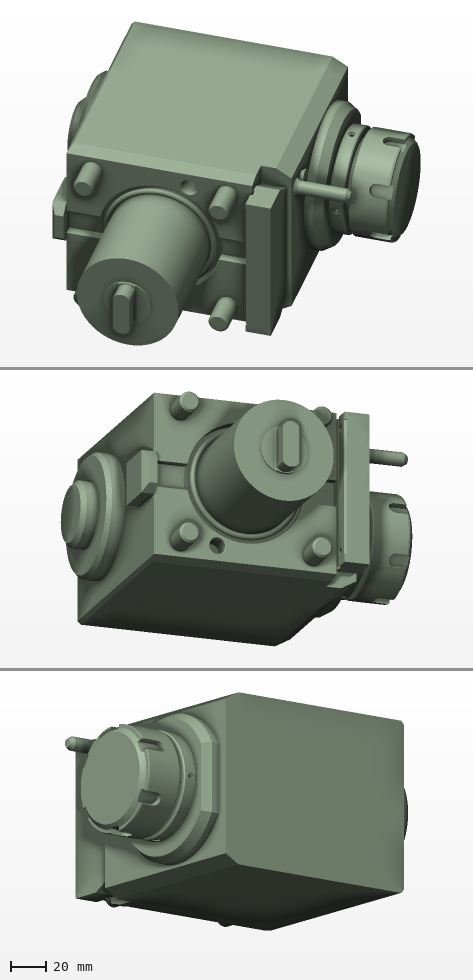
import cadquery as cq
import math


HOUSING_LEFT = -55.2
HOUSING_RIGHT = 72.6
HOUSING_BACK = 129.0
HOUSING_HEIGHT = 100.0
LEFT_CHAMFER = 2.0
RIGHT_CHAMFER_X = 9.2
RIGHT_CHAMFER_Z = 5.2
FRONT_CHAMFER_Y = 8.3
FRONT_CHAMFER_Z = 2.0
NOTCH_LEFT = 54.5
NOTCH_BACK = 17.5

FACE_SLOT_WIDTH = 15.6
FACE_SLOT_DEPTH = 5.3
SEAL_RECESS_DIAMETER = 71.2
SEAL_RECESS_DEPTH = 7.0
SEAL_CORE_RADIUS = 31.6
SEAL_CORD_RADIUS = 1.8
SEAL_PROUD = 1.0
SCREW_SPACING_X = 79.8
SCREW_SPACING_Z = 78.0
SCREW_DIAMETER = 12.0
SCREW_LENGTH = 18.2
SCREW_CHAMFER = 1.2
DOWEL_HOLE_DIAMETER = 9.4
DOWEL_HOLE_DEPTH = 12.0
DOWEL_HOLE_X = 17.0
DOWEL_HOLE_Z = 39.0
HOLE_CHAMFER = 0.4

SHANK_DIAMETER = 60.0
SHANK_LENGTH = 63.6
DRIVE_DISC_DIAMETER = 28.0
DRIVE_DISC_THICKNESS = 0.9
TANG_WIDTH = 9.6
TANG_FLAT_HEIGHT = 21.6
TANG_HEIGHT = 27.2
TANG_END = 76.0
TANG_ROOT_FILLET = 1.0

KEY_THICKNESS = 8.0
KEY_WIDTH = 25.4
KEY_BACK = 24.0
KEY_TAPER_START = -1.0
KEY_TIP = -6.0
KEY_TIP_WIDTH = 15.6
KEY_TAPER_X = 3.0

BAR_RIGHT = 69.5
BAR_FRONT = -13.4
BAR_HEIGHT = 89.4
BAR_SLOPE_START = 5.1
BAR_SLOPE_DROP = 7.0
BAR_GROOVE_WIDTH = 4.0
BAR_GROOVE_DEPTH = 1.5
BAR_CLEARANCE = 0.7
BAR_EDGE_CHAMFER = 1.5
BAR_EDGE_CHAMFER_LENGTH = 80.0
BAR_HOLE_DIAMETER = 4.5
BAR_HOLE_Y = -6.5
BAR_HOLE_Z = 36.6

SPINDLE_Y = 85.0
LEFT_FLANGE_END = -65.8
LEFT_FLANGE_DIAMETER = 72.6
LEFT_FLANGE_CHAMFER_X = 2.7
LEFT_FLANGE_CHAMFER_R = 2.1
CAP_END = -75.0
CAP_DIAMETER = 38.8
CAP_CHAMFER = 2.7
CAP_GROOVE_DIAMETER = 40.6
CAP_GROOVE_DEPTH = 0.8

RIGHT_FLANGE_END = 83.1
RIGHT_FLANGE_DIAMETER = 86.0
RIGHT_FLANGE_FLAT = 37.8
RIGHT_FLANGE_CHAMFER_X = 5.4
RIGHT_FLANGE_CHAMFER_R = 3.3

COLLAR_START = 83.8
COLLAR_END = 92.4
COLLAR_DIAMETER = 63.0
COLLAR_CHAMFER = 0.6
RELIEF_DIAMETER = 57.0
NECK_DIAMETER = 51.0
SET_SCREW_COUNT = 4
SET_SCREW_DIAMETER = 4.6
SET_SCREW_RECESS = 0.8
SOCKET_ACROSS_CORNERS = 2.8
SOCKET_DEPTH = 2.0

NUT_START = 95.4
NUT_END = 120.8
NUT_DIAMETER = 63.0
NUT_BACK_CHAMFER = 0.6
NUT_RIM_CHAMFER_START = 117.0
NUT_RIM_CHAMFER = 0.4
NUT_RIM_END = 118.1
NUT_CONE_LARGE_DIAMETER = 58.6
NUT_CONE_SMALL_DIAMETER = 53.0
NUT_SLOT_COUNT = 6
NUT_SLOT_WIDTH = 8.0
NUT_SLOT_START = 106.5
NUT_LONG_SLOT_START = 103.2
NUT_LONG_SLOT_INDEX = 5
NUT_SLOT_FLOOR_RADIUS = 28.0

COOLANT_Z = 33.5
PIPE_Y = 25.4
PIPE_DIAMETER = 8.2
PIPE_BASE_DIAMETER = 10.6
PIPE_BASE_LENGTH = 2.4
PIPE_END = 105.5
PIPE_TIP_LENGTH = 2.6
PIPE_TIP_DIAMETER = 4.8
PLUG_Y = 35.8
PLUG_ROOT_DIAMETER = 7.0
PLUG_DIAMETER = 10.4
PLUG_LENGTH = 2.8

HALF_HEIGHT = HOUSING_HEIGHT / 2
DRIVE_DISC_END = -SHANK_LENGTH - DRIVE_DISC_THICKNESS


def box(x_range, y_range, z_range):
    """Axis-aligned box between the given limits."""
    size = [high - low for low, high in (x_range, y_range, z_range)]
    corner = (x_range[0], y_range[0], z_range[0])
    return cq.Workplane("XY").box(*size, centered=False).translate(corner)


def turned_along_x(profile, y, z=0.0):
    """Solid turned about the X-parallel line through (y, z); profile is (x, radius) pairs."""
    first_x, last_x = profile[0][0], profile[-1][0]
    outline = [(first_x, 0), *profile, (last_x, 0)]
    solid = cq.Workplane("XY").polyline(outline).close().revolve(360, (0, 0, 0), (1, 0, 0))
    return solid.translate((0, y, z))


def rod_along_y(diameter, y_start, y_end, x=0.0, z=0.0):
    """Plain cylinder parallel to Y, from y_start forward (toward -Y) to y_end."""
    plane = cq.Workplane("XZ", origin=(x, y_start, z))
    return plane.circle(diameter / 2).extrude(y_start - y_end)


def chamfered_bore(diameter, depth, x=0.0, z=0.0):
    """Cutting tool for a blind hole in the mounting face, with a chamfer at its mouth."""
    radius = diameter / 2
    mouth = cq.Solid.makeCone(
        radius + HOLE_CHAMFER, radius, HOLE_CHAMFER, pnt=cq.Vector(x, 0, z), dir=cq.Vector(0, 1, 0)
    )
    return rod_along_y(diameter, depth, 0, x, z).union(cq.Workplane(mouth))


def make_block():
    half_front = HALF_HEIGHT - FRONT_CHAMFER_Z
    left_edge = HALF_HEIGHT - LEFT_CHAMFER
    right_edge = HALF_HEIGHT - RIGHT_CHAMFER_Z
    end_outline = [
        (HOUSING_LEFT, -left_edge),
        (HOUSING_LEFT + LEFT_CHAMFER, -HALF_HEIGHT),
        (HOUSING_RIGHT - RIGHT_CHAMFER_X, -HALF_HEIGHT),
        (HOUSING_RIGHT, -right_edge),
        (HOUSING_RIGHT, right_edge),
        (HOUSING_RIGHT - RIGHT_CHAMFER_X, HALF_HEIGHT),
        (HOUSING_LEFT + LEFT_CHAMFER, HALF_HEIGHT),
        (HOUSING_LEFT, left_edge),
    ]
    side_outline = [
        (0, -half_front),
        (FRONT_CHAMFER_Y, -HALF_HEIGHT),
        (HOUSING_BACK, -HALF_HEIGHT),
        (HOUSING_BACK, HALF_HEIGHT),
        (FRONT_CHAMFER_Y, HALF_HEIGHT),
        (0, half_front),
    ]
    along_y = cq.Workplane("XZ").polyline(end_outline).close().extrude(-HOUSING_BACK)
    side_plane = cq.Workplane("YZ", origin=(HOUSING_LEFT, 0, 0))
    along_x = side_plane.polyline(side_outline).close().extrude(HOUSING_RIGHT - HOUSING_LEFT)
    notch = box((NOTCH_LEFT, HOUSING_RIGHT), (0, NOTCH_BACK), (-HALF_HEIGHT, HALF_HEIGHT))
    return along_y.intersect(along_x).cut(notch)


def cut_mounting_face(body):
    half_slot = FACE_SLOT_WIDTH / 2
    slot = box((HOUSING_LEFT, NOTCH_LEFT), (0, FACE_SLOT_DEPTH), (-half_slot, half_slot))
    body = body.cut(slot)
    body = body.cut(chamfered_bore(SEAL_RECESS_DIAMETER, SEAL_RECESS_DEPTH))
    for side in (-1, 1):
        x, z = side * DOWEL_HOLE_X, side * DOWEL_HOLE_Z
        body = body.cut(chamfered_bore(DOWEL_HOLE_DIAMETER, DOWEL_HOLE_DEPTH, x, z))
    return body


def make_screw(x, z):
    screw = rod_along_y(SCREW_DIAMETER, SEAL_RECESS_DEPTH, -SCREW_LENGTH, x, z)
    return screw.faces("<Y").chamfer(SCREW_CHAMFER)


def make_seal_ring():
    centre_y = SEAL_CORD_RADIUS - SEAL_PROUD
    cord = cq.Workplane("XY").center(SEAL_CORE_RADIUS, centre_y).circle(SEAL_CORD_RADIUS)
    return cord.revolve(360, (-SEAL_CORE_RADIUS, 0, 0), (-SEAL_CORE_RADIUS, 1, 0))


def make_tang():
    half_width, half_flat, half_height = TANG_WIDTH / 2, TANG_FLAT_HEIGHT / 2, TANG_HEIGHT / 2
    outline = (
        cq.Workplane("XZ", origin=(0, -SHANK_LENGTH, 0))
        .moveTo(-half_width, -half_flat)
        .lineTo(-half_width, half_flat)
        .threePointArc((0, half_height), (half_width, half_flat))
        .lineTo(half_width, -half_flat)
        .threePointArc((0, -half_height), (-half_width, -half_flat))
        .close()
    )
    return outline.extrude(TANG_END - SHANK_LENGTH)


def make_tang_root():
    """Low pad that blends the tang's two flat sides into the drive disc with concave arcs."""
    root_end = DRIVE_DISC_END - TANG_ROOT_FILLET
    inner = TANG_WIDTH / 2
    outer = inner + TANG_ROOT_FILLET
    arc_offset = TANG_ROOT_FILLET * math.sqrt(0.5)
    arc_x, arc_y = outer - arc_offset, root_end + arc_offset
    profile = (
        cq.Workplane("XY")
        .moveTo(-outer, DRIVE_DISC_END)
        .threePointArc((-arc_x, arc_y), (-inner, root_end))
        .lineTo(inner, root_end)
        .threePointArc((arc_x, arc_y), (outer, DRIVE_DISC_END))
        .close()
    )
    envelope = rod_along_y(DRIVE_DISC_DIAMETER, DRIVE_DISC_END, root_end)
    return profile.extrude(DRIVE_DISC_DIAMETER, both=True).intersect(envelope)


def make_drive_end():
    disc = rod_along_y(DRIVE_DISC_DIAMETER, -SHANK_LENGTH, DRIVE_DISC_END)
    return disc.union(make_tang_root()).union(make_tang())


def make_shank():
    shank = rod_along_y(SHANK_DIAMETER, SEAL_RECESS_DEPTH, -SHANK_LENGTH)
    return shank.union(make_drive_end()).union(make_seal_ring())


def make_left_key():
    key_left = HOUSING_LEFT - KEY_THICKNESS
    half_width, half_tip = KEY_WIDTH / 2, KEY_TIP_WIDTH / 2
    plan = [
        (HOUSING_LEFT, KEY_BACK),
        (key_left, KEY_BACK),
        (key_left, KEY_TAPER_START),
        (key_left + KEY_TAPER_X, KEY_TIP),
        (HOUSING_LEFT, KEY_TIP),
    ]
    side = [
        (KEY_BACK, half_width),
        (KEY_TAPER_START, half_width),
        (KEY_TIP, half_tip),
        (KEY_TIP, -half_tip),
        (KEY_TAPER_START, -half_width),
        (KEY_BACK, -half_width),
    ]
    from_plan = cq.Workplane("XY").polyline(plan).close().extrude(half_width, both=True)
    side_plane = cq.Workplane("YZ", origin=(key_left, 0, 0))
    return from_plan.intersect(side_plane.polyline(side).close().extrude(KEY_THICKNESS))


def make_right_bar():
    half_height = BAR_HEIGHT / 2
    half_back = half_height - BAR_SLOPE_DROP
    side = [
        (BAR_FRONT, half_height),
        (BAR_SLOPE_START, half_height),
        (NOTCH_BACK, half_back),
        (NOTCH_BACK, -half_back),
        (BAR_SLOPE_START, -half_height),
        (BAR_FRONT, -half_height),
    ]
    plane = cq.Workplane("YZ", origin=(NOTCH_LEFT, 0, 0))
    bar = plane.polyline(side).close().extrude(BAR_RIGHT - NOTCH_LEFT)

    groove_x = (NOTCH_LEFT, NOTCH_LEFT + BAR_GROOVE_DEPTH)
    bar = bar.cut(box(groove_x, (-BAR_GROOVE_WIDTH, 0), (-half_height, half_height)))
    clearance_x = (NOTCH_LEFT, NOTCH_LEFT + BAR_CLEARANCE)
    bar = bar.cut(box(clearance_x, (0, NOTCH_BACK), (-half_height, half_height)))

    edge_corner = [
        (NOTCH_LEFT, BAR_FRONT),
        (NOTCH_LEFT + BAR_EDGE_CHAMFER, BAR_FRONT),
        (NOTCH_LEFT, BAR_FRONT + BAR_EDGE_CHAMFER),
    ]
    edge_cut = cq.Workplane("XY").polyline(edge_corner).close()
    bar = bar.cut(edge_cut.extrude(BAR_EDGE_CHAMFER_LENGTH / 2, both=True))

    holes = plane.pushPoints([(BAR_HOLE_Y, BAR_HOLE_Z), (BAR_HOLE_Y, -BAR_HOLE_Z)])
    return bar.cut(holes.circle(BAR_HOLE_DIAMETER / 2).extrude(BAR_GROOVE_DEPTH))


def make_left_flange():
    radius = LEFT_FLANGE_DIAMETER / 2
    flange = turned_along_x(
        [
            (LEFT_FLANGE_END, radius - LEFT_FLANGE_CHAMFER_R),
            (LEFT_FLANGE_END + LEFT_FLANGE_CHAMFER_X, radius),
            (HOUSING_LEFT, radius),
        ],
        SPINDLE_Y,
    )
    groove_floor = LEFT_FLANGE_END + CAP_GROOVE_DEPTH
    groove_radius = CAP_GROOVE_DIAMETER / 2
    recess = [(LEFT_FLANGE_END, groove_radius), (groove_floor, groove_radius)]
    cap = [
        (CAP_END, CAP_DIAMETER / 2 - CAP_CHAMFER),
        (CAP_END + CAP_CHAMFER, CAP_DIAMETER / 2),
        (groove_floor, CAP_DIAMETER / 2),
    ]
    flange = flange.cut(turned_along_x(recess, SPINDLE_Y))
    return flange.union(turned_along_x(cap, SPINDLE_Y))


def make_right_flange():
    """Round flange with a flat on its +Y side, bevelled around its whole outer end."""
    radius = RIGHT_FLANGE_DIAMETER / 2
    half_chord = math.sqrt(radius**2 - RIGHT_FLANGE_FLAT**2)
    straight = (
        cq.Workplane("YZ", origin=(HOUSING_RIGHT, SPINDLE_Y, 0))
        .moveTo(RIGHT_FLANGE_FLAT, half_chord)
        .threePointArc((-radius, 0), (RIGHT_FLANGE_FLAT, -half_chord))
        .close()
        .extrude(RIGHT_FLANGE_END - HOUSING_RIGHT)
    )
    shoulder = RIGHT_FLANGE_END - RIGHT_FLANGE_CHAMFER_X
    cone = turned_along_x(
        [
            (HOUSING_RIGHT, radius),
            (shoulder, radius),
            (RIGHT_FLANGE_END, radius - RIGHT_FLANGE_CHAMFER_R),
        ],
        SPINDLE_Y,
    )
    flat_y = SPINDLE_Y + RIGHT_FLANGE_FLAT
    bevel_corner = [
        (shoulder, flat_y),
        (RIGHT_FLANGE_END, flat_y),
        (RIGHT_FLANGE_END, flat_y - RIGHT_FLANGE_CHAMFER_R),
    ]
    bevel = cq.Workplane("XY").polyline(bevel_corner).close().extrude(radius, both=True)
    return straight.intersect(cone).cut(bevel)


def make_spindle_nose():
    collar_radius = COLLAR_DIAMETER / 2
    relief_radius = RELIEF_DIAMETER / 2
    neck_radius = NECK_DIAMETER / 2
    nose = turned_along_x(
        [
            (HOUSING_RIGHT, relief_radius),
            (COLLAR_START, relief_radius),
            (COLLAR_START, collar_radius - COLLAR_CHAMFER),
            (COLLAR_START + COLLAR_CHAMFER, collar_radius),
            (COLLAR_END - COLLAR_CHAMFER, collar_radius),
            (COLLAR_END, collar_radius - COLLAR_CHAMFER),
            (COLLAR_END, neck_radius),
            (NUT_START, neck_radius),
        ],
        SPINDLE_Y,
    )
    recess_floor = collar_radius - SET_SCREW_RECESS
    socket_floor = recess_floor - SOCKET_DEPTH
    centre_x = (COLLAR_START + COLLAR_END) / 2
    recess = (
        cq.Workplane("XY", origin=(centre_x, SPINDLE_Y, recess_floor))
        .circle(SET_SCREW_DIAMETER / 2)
        .extrude(COLLAR_DIAMETER)
    )
    socket = (
        cq.Workplane("XY", origin=(centre_x, SPINDLE_Y, socket_floor))
        .polygon(6, SOCKET_ACROSS_CORNERS)
        .extrude(COLLAR_DIAMETER)
    )
    set_screw = recess.union(socket)
    for index in range(SET_SCREW_COUNT):
        angle = index * 360 / SET_SCREW_COUNT
        nose = nose.cut(set_screw.rotate((0, SPINDLE_Y, 0), (1, SPINDLE_Y, 0), angle))
    return nose


def make_coolant_pipe():
    pipe_radius = PIPE_DIAMETER / 2
    base_end = HOUSING_RIGHT + PIPE_BASE_LENGTH
    profile = [
        (HOUSING_RIGHT, PIPE_BASE_DIAMETER / 2),
        (base_end, pipe_radius),
        (PIPE_END - PIPE_TIP_LENGTH, pipe_radius),
        (PIPE_END, PIPE_TIP_DIAMETER / 2),
    ]
    return turned_along_x(profile, PIPE_Y, COOLANT_Z)


def make_coolant_plug():
    profile = [
        (HOUSING_RIGHT, PLUG_ROOT_DIAMETER / 2),
        (HOUSING_RIGHT + PLUG_LENGTH, PLUG_DIAMETER / 2),
    ]
    return turned_along_x(profile, PLUG_Y, COOLANT_Z)


def make_holder():
    holder = cut_mounting_face(make_block())
    holder = holder.union(make_shank())
    for x in (-SCREW_SPACING_X / 2, SCREW_SPACING_X / 2):
        for z in (-SCREW_SPACING_Z / 2, SCREW_SPACING_Z / 2):
            holder = holder.union(make_screw(x, z))
    holder = holder.union(make_left_key()).union(make_right_bar())
    holder = holder.union(make_left_flange()).union(make_right_flange())
    holder = holder.union(make_spindle_nose())
    return holder.union(make_coolant_pipe()).union(make_coolant_plug())


def make_nut_slot(start_x):
    """Cutter for one spanner slot on the +Z side, rounded at its start and open at the nut's end."""
    half_slot = NUT_SLOT_WIDTH / 2
    round_x = start_x + half_slot
    return (
        cq.Workplane("XY", origin=(0, SPINDLE_Y, NUT_SLOT_FLOOR_RADIUS))
        .moveTo(NUT_END, half_slot)
        .lineTo(round_x, half_slot)
        .threePointArc((start_x, 0), (round_x, -half_slot))
        .lineTo(NUT_END, -half_slot)
        .close()
        .extrude(NUT_DIAMETER)
    )


def make_collet_nut():
    radius = NUT_DIAMETER / 2
    nut = turned_along_x(
        [
            (NUT_START, radius - NUT_BACK_CHAMFER),
            (NUT_START + NUT_BACK_CHAMFER, radius),
            (NUT_RIM_CHAMFER_START, radius),
            (NUT_RIM_END, radius - NUT_RIM_CHAMFER),
            (NUT_RIM_END, NUT_CONE_LARGE_DIAMETER / 2),
            (NUT_END, NUT_CONE_SMALL_DIAMETER / 2),
        ],
        SPINDLE_Y,
    )
    for index in range(NUT_SLOT_COUNT):
        angle = index * 360 / NUT_SLOT_COUNT
        start_x = NUT_LONG_SLOT_START if index == NUT_LONG_SLOT_INDEX else NUT_SLOT_START
        slot = make_nut_slot(start_x)
        nut = nut.cut(slot.rotate((0, SPINDLE_Y, 0), (1, SPINDLE_Y, 0), angle))
    return nut


holder = make_holder()
collet_nut = make_collet_nut()

result = cq.Compound.makeCompound([holder.solids().val(), collet_nut.solids().val()])